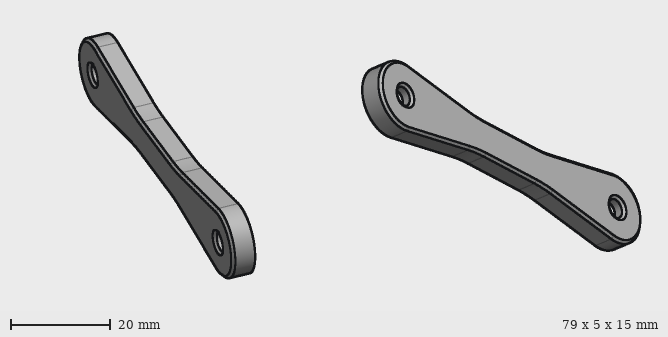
import cadquery as cq
import math

length = 79.0
thickness = 5.0
end_radius = 7.5
waist_half_height = 4.0
waist_corner_x = 10.0
waist_blend_radius = 30.0
rim_chamfer = 0.6
hole_diameter = 4.0
hole_chamfer = 0.6
counterbore_diameter = 12.0
floor_thickness = 2.5

hole_x = length / 2 - end_radius
corner_run = hole_x - waist_corner_x
corner_distance = math.hypot(corner_run, waist_half_height)
taper_angle = math.asin(end_radius / corner_distance) - math.atan2(waist_half_height, corner_run)
tangent_x = hole_x - end_radius * math.sin(taper_angle)
tangent_z = end_radius * math.cos(taper_angle)

front_y = -thickness / 2


def link_blank():
    """Bar with round ends and a narrow waist, extruded along +Y from the front face."""
    blank = (
        cq.Workplane("XZ", origin=(0, front_y, 0))
        .moveTo(-tangent_x, tangent_z)
        .lineTo(-waist_corner_x, waist_half_height)
        .lineTo(waist_corner_x, waist_half_height)
        .lineTo(tangent_x, tangent_z)
        .threePointArc((length / 2, 0), (tangent_x, -tangent_z))
        .lineTo(waist_corner_x, -waist_half_height)
        .lineTo(-waist_corner_x, -waist_half_height)
        .lineTo(-tangent_x, -tangent_z)
        .threePointArc((-length / 2, 0), (-tangent_x, tangent_z))
        .close()
        .extrude(-thickness)
    )
    corner_box = cq.selectors.BoxSelector(
        (-hole_x / 2, -thickness, -end_radius), (hole_x / 2, thickness, end_radius)
    )
    return blank.edges("|Y").edges(corner_box).fillet(waist_blend_radius)


def pivot_hole(x):
    """Through-hole cutter with a conical lead-in at the front face and a counterbore at the back."""
    radius = hole_diameter / 2
    profile = (
        cq.Workplane("XY", origin=(x, front_y, 0))
        .lineTo(radius + hole_chamfer, 0)
        .lineTo(radius, hole_chamfer)
        .lineTo(radius, floor_thickness)
        .lineTo(counterbore_diameter / 2, floor_thickness)
        .lineTo(counterbore_diameter / 2, thickness)
        .lineTo(0, thickness)
        .close()
    )
    return profile.revolve(360, (0, 0), (0, 1))


result = link_blank().faces("<Y").edges().chamfer(rim_chamfer)
for x in (-hole_x, hole_x):
    result = result.cut(pivot_hole(x))